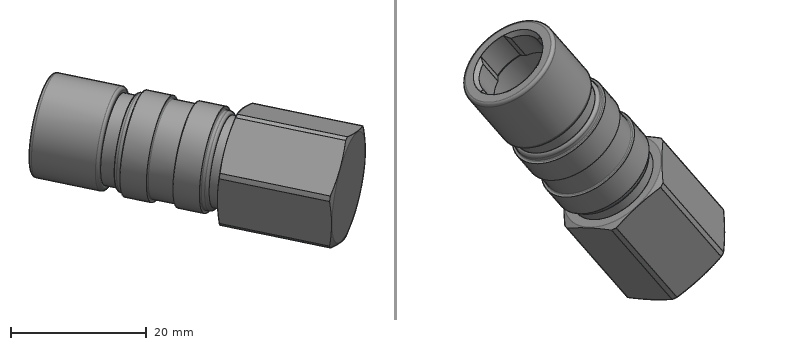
import cadquery as cq
import math

total_length = 46.9
front_length = 10.9
collar_start = 13.0
collar_margin = 1.15
band_length = 4.1
groove_length = 4.1
band_count = 2
band_pitch = band_length + groove_length
band_starts = [collar_start + collar_margin + index * band_pitch for index in range(band_count)]
collar_end = band_starts[-1] + band_length + collar_margin
hex_start = 29.25

front_diameter = 15.8
neck_diameter = 14.0
collar_diameter = 15.1
band_diameter = 16.15
front_edge_radius = 0.5
collar_edge_radius = 0.5
band_root_radius = 0.15

hex_sides = 6
hex_across_flats = 17.0
hex_corner_diameter = 19.15
hex_face_diameter = 16.8
hex_chamfer_length = 0.35

bore_diameter = 12.0
chamber_diameter = 12.3
chamber_end = 9.4
pad_inner_diameter = 10.85
pad_flank_offset = 4.75
pad_ramp_length = 0.65
pad_end_depth = 4.85
pad_count = 3


def disc(start, end, diameter):
    """Cylinder on the X axis between two stations."""
    return cq.Workplane("YZ", origin=(start, 0, 0)).circle(diameter / 2).extrude(end - start)


def front_sleeve():
    return disc(0, front_length, front_diameter).edges().fillet(front_edge_radius)


def band(start):
    """Raised band standing on the collar, with rounded roots on both sides."""
    end = start + band_length
    root_start = start - band_root_radius
    root_end = end + band_root_radius
    collar_radius = collar_diameter / 2
    band_radius = band_diameter / 2
    root_top = collar_radius + band_root_radius
    arc_reach = band_root_radius * math.sqrt(0.5)
    arc_height = root_top - arc_reach
    profile = (
        cq.Workplane("XY")
        .moveTo(root_start, 0)
        .lineTo(root_start, collar_radius)
        .threePointArc((root_start + arc_reach, arc_height), (start, root_top))
        .lineTo(start, band_radius)
        .lineTo(end, band_radius)
        .lineTo(end, root_top)
        .threePointArc((root_end - arc_reach, arc_height), (root_end, collar_radius))
        .lineTo(root_end, 0)
        .close()
    )
    return profile.revolve(360, (0, 0, 0), (1, 0, 0))


def collar():
    body = disc(collar_start, collar_end, collar_diameter).edges().fillet(collar_edge_radius)
    for start in band_starts:
        body = body.union(band(start))
    return body


def hex_end():
    """Hexagon with two flats facing +Y and -Y, its corners turned and chamfered at both ends."""
    length = total_length - hex_start
    prism = (
        cq.Workplane("YZ", origin=(hex_start, 0, 0))
        .polygon(hex_sides, hex_across_flats, circumscribed=True)
        .extrude(length)
    )
    chamfer_height = (hex_corner_diameter - hex_face_diameter) / 2
    turned = disc(hex_start, total_length, hex_corner_diameter)
    turned = turned.faces("<X").chamfer(hex_chamfer_length, chamfer_height)
    turned = turned.faces(">X").chamfer(hex_chamfer_length, chamfer_height)
    return prism.intersect(turned)


def guide_pads():
    """Pads with flat flanks parallel to the axis and a ramp leading in from the mouth."""
    outer_radius = bore_diameter / 2
    ring = (
        cq.Workplane("XY")
        .moveTo(0, outer_radius)
        .lineTo(pad_ramp_length, pad_inner_diameter / 2)
        .lineTo(pad_end_depth, pad_inner_diameter / 2)
        .lineTo(pad_end_depth, outer_radius)
        .close()
        .revolve(360, (0, 0, 0), (1, 0, 0))
    )
    selector = cq.Workplane("XY").box(
        pad_end_depth, outer_radius, bore_diameter, centered=(False, False, True)
    ).translate((0, pad_flank_offset, 0))
    pad = ring.intersect(selector)
    pads = pad
    for index in range(1, pad_count):
        pads = pads.union(pad.rotate((0, 0, 0), (1, 0, 0), index * 360 / pad_count))
    return pads


def socket():
    """Bore with guide pads left standing at the mouth, and a slightly wider blind chamber behind them."""
    mouth = disc(0, pad_end_depth, bore_diameter).cut(guide_pads())
    return mouth.union(disc(pad_end_depth, chamber_end, chamber_diameter))


neck = disc(front_length, hex_start, neck_diameter)
outside = front_sleeve().union(neck).union(collar()).union(hex_end())
result = outside.cut(socket())